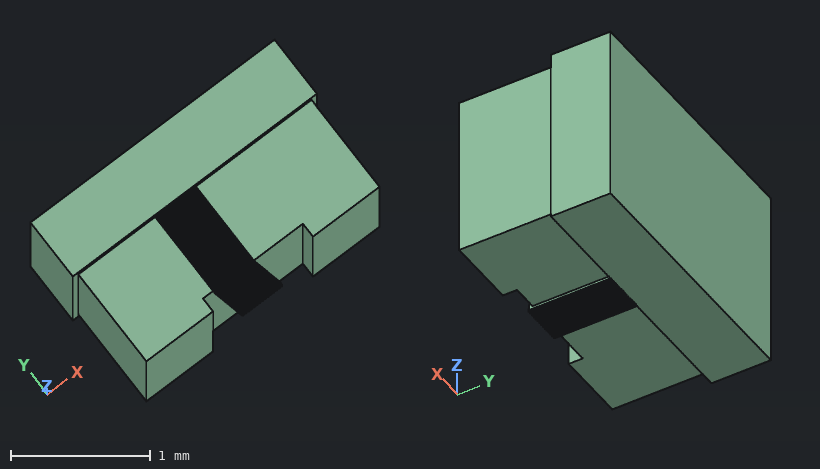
import cadquery as cq
import math

plate_length = 2.2
plate_thickness = 0.5
plate_height = 1.5
core_length = 2.1
core_depth = 0.8
core_height = 1.365

recess_length = 0.9
recess_depth = 0.119

wire_count = 15
coil_width = 0.365
end_wire_width = 0.015
crest_width = 0.005
crest_height = 0.035
side_wall_height = 0.029
flank_angle = 23.0
lean_angle = 9.6
coil_center_x = -0.06

back_y = (plate_thickness + core_depth) / 2
plate_front_y = back_y - plate_thickness
core_front_y = plate_front_y - core_depth
recess_floor_y = core_front_y + recess_depth

wire_pitch = (coil_width - end_wire_width) / (wire_count - 1)
lean = math.tan(math.radians(lean_angle))
flank_width = (wire_pitch - crest_width) / 2
valley_height = crest_height - flank_width * math.tan(math.radians(flank_angle))


def make_plate():
    center_y = back_y - plate_thickness / 2
    return cq.Workplane("XY").box(plate_length, plate_thickness, plate_height).translate((0, center_y, 0))


def make_core():
    """Core block with the recess cut through its full height."""
    center_y = plate_front_y - core_depth / 2
    core = cq.Workplane("XY").box(core_length, core_depth, core_height).translate((0, center_y, 0))
    recess = cq.Workplane("XY").box(recess_length, 2 * recess_depth, core_height)
    return core.cut(recess.translate((0, core_front_y, 0)))


def coil_profile():
    """Section as (offset across the coil, height above the core), counted from the coil's middle."""
    last_crest = (wire_count - 1) / 2 * wire_pitch
    side = coil_width / 2
    profile = [(-side, 0), (-side, side_wall_height)]
    for i in range(wire_count):
        crest = i * wire_pitch - last_crest
        if i > 0:
            profile.append((crest - wire_pitch / 2, valley_height))
        profile.append((crest - crest_width / 2, crest_height))
        profile.append((crest + crest_width / 2, crest_height))
    return profile + [(side, side_wall_height), (side, 0)]


def coil_outline(side, at_plate):
    """Coil section at one end of a run.

    Side is 1 above the core and -1 below it. The section stands on the plate's face or,
    where the coil turns round the core's edge, on the mitre between two runs.
    """
    points = []
    for offset, height in coil_profile():
        z = side * (core_height / 2 + height)
        x = coil_center_x + offset - lean * z
        y = plate_front_y if at_plate else recess_floor_y - height
        points.append(cq.Vector(x, y, z))
    return cq.Wire.makePolygon(points, close=True)


def make_coil_runs():
    """Top, front and bottom runs, joined at the mitres."""
    outlines = [
        coil_outline(1, at_plate=True),
        coil_outline(1, at_plate=False),
        coil_outline(-1, at_plate=False),
        coil_outline(-1, at_plate=True),
    ]
    return [cq.Solid.makeLoft([start, end], True) for start, end in zip(outlines, outlines[1:])]


result = make_plate().union(make_core())
for run in make_coil_runs():
    result = result.union(cq.Workplane(obj=run))